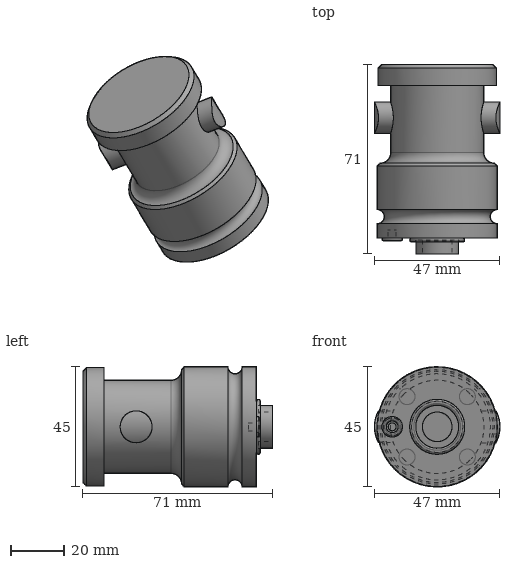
import cadquery as cq
import math

total_length = 71.0
boss_length = 6.0
body_length = total_length - boss_length

body_radius = 22.5
neck_radius = 17.5
shoulder_fillet = 3.9
edge_chamfer = 1.0
shoulder_y = 28.05
groove_y = 8.0
groove_radius = 2.6

flange_radius = 22.2
flange_thickness = 7.95
flange_chamfer = 1.4

trunnion_span = 47.0
trunnion_radius = 5.95
trunnion_y = 45.0
trunnion_end_radius = 12.3

boss_radius = 8.0
bore_radius = 5.55
bore_depth = 5.0
ring_radius = 10.3
ring_height = 1.4

fitting_x = -16.8
fitting_radius = 3.8
fitting_height = 1.0
fitting_core_radius = 2.2
fitting_hole_radius = 1.5
fitting_hole_depth = 3.0

plug_radius = 3.0
plug_offset = 11.3
plug_depth = 2.85


def revolve(profile):
    """Turn a closed XY half-profile about the Y axis."""
    return profile.close().revolve(360, (0, 0, 0), (0, 1, 0))


def front_cylinder(radius, start_y, end_y):
    """Cylinder along Y between two Y positions."""
    return cq.Workplane("XZ", origin=(0, start_y, 0)).circle(radius).extrude(start_y - end_y)


def make_body():
    flange_y = body_length - flange_thickness
    fillet_end_y = shoulder_y + shoulder_fillet
    arc_step = shoulder_fillet * (1 - math.sqrt(0.5))
    return revolve(
        cq.Workplane("XY")
        .lineTo(body_radius, 0)
        .lineTo(body_radius, groove_y - groove_radius)
        .threePointArc((body_radius - groove_radius, groove_y), (body_radius, groove_y + groove_radius))
        .lineTo(body_radius, shoulder_y - edge_chamfer)
        .lineTo(neck_radius + shoulder_fillet, shoulder_y)
        .threePointArc((neck_radius + arc_step, shoulder_y + arc_step), (neck_radius, fillet_end_y))
        .lineTo(neck_radius, flange_y)
        .lineTo(flange_radius, flange_y)
        .lineTo(flange_radius, body_length - flange_chamfer)
        .lineTo(flange_radius - flange_chamfer, body_length)
        .lineTo(0, body_length)
    )


def make_trunnions():
    """Cross pin whose ends are curved about axes parallel to Y."""
    pin = (
        cq.Workplane("YZ", origin=(-trunnion_span / 2, trunnion_y, 0))
        .circle(trunnion_radius)
        .extrude(trunnion_span)
    )
    reach = trunnion_span / 2
    flank_x = reach - trunnion_end_radius + math.sqrt(trunnion_end_radius**2 - trunnion_radius**2)
    envelope = (
        cq.Workplane("XZ", origin=(0, trunnion_y + trunnion_radius, 0))
        .moveTo(-flank_x, -trunnion_radius)
        .lineTo(flank_x, -trunnion_radius)
        .threePointArc((reach, 0), (flank_x, trunnion_radius))
        .lineTo(-flank_x, trunnion_radius)
        .threePointArc((-reach, 0), (-flank_x, -trunnion_radius))
        .close()
        .extrude(2 * trunnion_radius)
    )
    return pin.intersect(envelope)


def make_rounded_ring(core_radius, outer_radius, height):
    """Disc with a half-round outer edge and an inner edge rounded down to its core."""
    rounding = height / 2
    arc_step = rounding * (1 - math.sqrt(0.5))
    return revolve(
        cq.Workplane("XY")
        .lineTo(outer_radius - rounding, 0)
        .threePointArc((outer_radius, -rounding), (outer_radius - rounding, -height))
        .lineTo(core_radius + rounding, -height)
        .threePointArc((core_radius + arc_step, arc_step - height), (core_radius, -rounding))
        .lineTo(0, -rounding)
    )


def make_fitting():
    """Open ring standing on the front face."""
    ring = make_rounded_ring(fitting_core_radius, fitting_radius, fitting_height)
    opening = front_cylinder(fitting_core_radius, 0, -fitting_height)
    return ring.cut(opening).translate((fitting_x, 0, 0))


boss = front_cylinder(boss_radius, 0, -boss_length)
bore = front_cylinder(bore_radius, bore_depth - boss_length, -boss_length)
boss_ring = make_rounded_ring(boss_radius, ring_radius, ring_height)
fitting_hole = front_cylinder(fitting_hole_radius, fitting_hole_depth, 0).translate((fitting_x, 0, 0))
plugs = (
    cq.Workplane("XZ", origin=(0, plug_depth, 0))
    .rect(2 * plug_offset, 2 * plug_offset, forConstruction=True)
    .vertices()
    .circle(plug_radius)
    .extrude(plug_depth)
)

result = (
    make_body()
    .union(make_trunnions())
    .union(boss)
    .union(boss_ring)
    .union(make_fitting())
    .cut(bore)
    .cut(fitting_hole)
)

result = result.cut(plugs).union(plugs, clean=False)